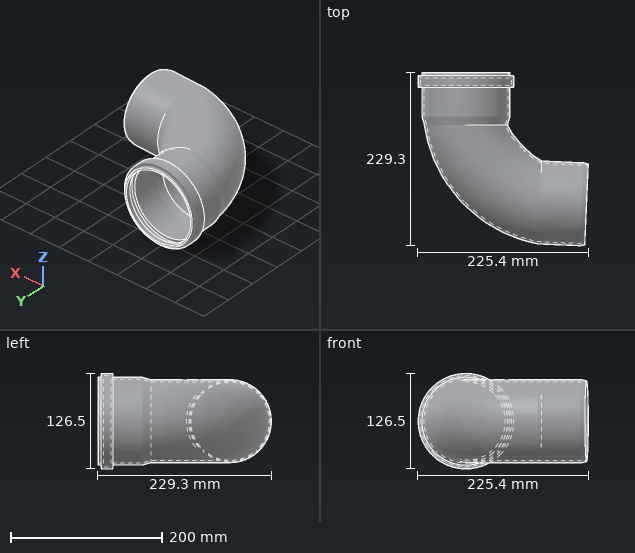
import cadquery as cq
import math

BEND_ANGLE = 87.5
BEND_RADIUS = 102.3
BEND_RISE = 19.5
BEND_SECTIONS = 7

PIPE_RADIUS = 110.0 / 2
PIPE_BORE_RADIUS = 104.0 / 2
SPIGOT_LENGTH = 62.0
SPIGOT_TAPER_LENGTH = 6.2
SPIGOT_TAPER_DEPTH = 1.5
CUT_MARGIN = 2.3

SOCKET_RADIUS = 116.5 / 2
SOCKET_BORE_RADIUS = 111.0 / 2
SOCKET_DEPTH = 58.7
CONE_LENGTH = 11.0
BEND_START = SOCKET_DEPTH + CONE_LENGTH

BEAD_RADIUS = 126.5 / 2
GROOVE_RADIUS = 120.9 / 2
BEAD_START = 4.1
BEAD_END = 19.7
BEAD_ROUNDING = 1.1
BEAD_WALL = BEAD_RADIUS - GROOVE_RADIUS


turn = math.radians(BEND_ANGLE)
bend_chord = 2 * BEND_RADIUS * math.sin(turn / 2)
arc_radius = ((bend_chord / 2) ** 2 + BEND_RISE**2) / (2 * BEND_RISE)
arc_sweep = 2 * math.asin(bend_chord / (2 * arc_radius))
arc_start_angle = (turn - arc_sweep) / 2


def revolve_about_y(points):
    """Turn an (X, Y) outline around the socket axis."""
    return cq.Workplane("XY").polyline(points).close().revolve(360, (0, 0), (0, 1))


def bend_section(fraction):
    """Plane across the bend; its centre follows the flat arc and its normal turns evenly."""
    normal_angle = turn * fraction
    arc_angle = turn / 2 + arc_sweep * (fraction - 0.5)
    along = arc_radius * (math.sin(arc_angle) - math.sin(arc_start_angle))
    across = arc_radius * (math.cos(arc_start_angle) - math.cos(arc_angle))
    return cq.Plane(
        origin=(across, -BEND_START - along, 0),
        xDir=(0, 0, -1),
        normal=(math.sin(normal_angle), -math.cos(normal_angle), 0),
    )


def elbow_run(radius):
    """Solid bend followed by the straight spigot, both of the given radius."""
    sections = []
    for index in range(BEND_SECTIONS):
        plane = bend_section(index / (BEND_SECTIONS - 1))
        sections.append(cq.Workplane(plane).circle(radius).wires().val())
    bend = cq.Workplane(cq.Solid.makeLoft(sections))
    return bend.union(cq.Workplane(bend_section(1)).circle(radius).extrude(SPIGOT_LENGTH))


def socket_body():
    """Solid outside of the socket: sleeve, rounded bead and cone."""
    body = revolve_about_y([
        (0, 0),
        (SOCKET_RADIUS, 0),
        (SOCKET_RADIUS, -BEAD_START),
        (BEAD_RADIUS, -BEAD_START),
        (BEAD_RADIUS, -BEAD_END),
        (SOCKET_RADIUS, -BEAD_END),
        (SOCKET_RADIUS, -SOCKET_DEPTH),
        (PIPE_RADIUS, -BEND_START),
        (0, -BEND_START),
    ])
    bead_zone = cq.selectors.BoxSelector(
        (-BEAD_RADIUS, -BEAD_END - BEAD_ROUNDING, -BEAD_RADIUS),
        (BEAD_RADIUS, -BEAD_START + BEAD_ROUNDING, BEAD_RADIUS),
    )
    return body.edges("%CIRCLE").edges(bead_zone).fillet(BEAD_ROUNDING)


def socket_bore():
    """Inside of the socket, including the seal groove."""
    groove_start = BEAD_START + BEAD_WALL
    groove_end = BEAD_END - BEAD_WALL
    return revolve_about_y([
        (0, 0),
        (SOCKET_BORE_RADIUS, 0),
        (SOCKET_BORE_RADIUS, -groove_start),
        (GROOVE_RADIUS, -groove_start),
        (GROOVE_RADIUS, -groove_end),
        (SOCKET_BORE_RADIUS, -groove_end),
        (SOCKET_BORE_RADIUS, -SOCKET_DEPTH),
        (PIPE_BORE_RADIUS, -BEND_START),
        (0, -BEND_START),
    ])


def spigot_taper_cutter():
    """Ring that leaves a lead-in taper on the spigot end."""
    taper_start = SPIGOT_LENGTH - SPIGOT_TAPER_LENGTH
    end_plane = cq.Workplane(bend_section(1)).workplane(offset=taper_start)
    blank = end_plane.circle(PIPE_RADIUS + CUT_MARGIN).extrude(SPIGOT_TAPER_LENGTH)
    cone = (
        end_plane.circle(PIPE_RADIUS)
        .workplane(offset=SPIGOT_TAPER_LENGTH)
        .circle(PIPE_RADIUS - SPIGOT_TAPER_DEPTH)
        .loft()
    )
    return blank.cut(cone)


outside = socket_body().union(elbow_run(PIPE_RADIUS)).cut(spigot_taper_cutter())
inside = socket_bore().union(elbow_run(PIPE_BORE_RADIUS))
result = outside.cut(inside)